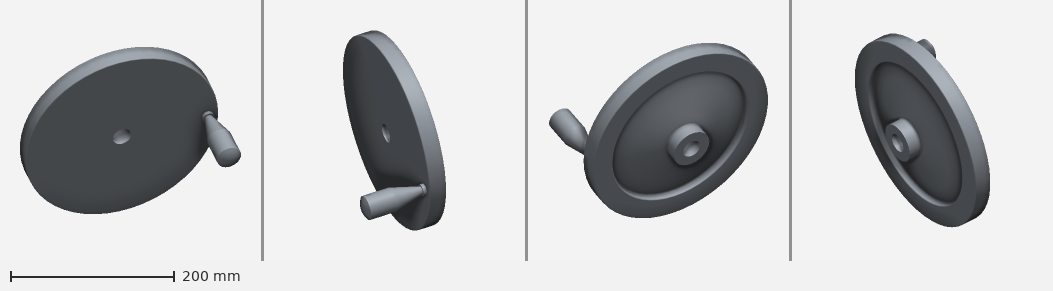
import cadquery as cq
import math

bore_diameter = 24.0
hub_diameter = 50.0
wheel_diameter = 250.0
recess_diameter = 192.62

rim_front_x = 26.5
rim_width = 22.9
rim_back_x = rim_front_x + rim_width
rim_edge_radius = 1.5

web_angle = 15.0
web_hub_x = 17.0
hub_fillet_radius = 2.0
recess_fillet_radius = 2.5

handle_offset_y = (wheel_diameter + recess_diameter) / 4
overall_length = 133.96
collar_diameter = 14.88
collar_length = 4.6
neck_diameter = 10.4
grip_diameter = 31.0
grip_length = 35.5
dome_radius = 25.0


def make_wheel():
    """Revolve the rim, web and hub, then round the edges."""
    bore_radius = bore_diameter / 2
    hub_radius = hub_diameter / 2
    wheel_radius = wheel_diameter / 2
    recess_radius = recess_diameter / 2
    web_rise = (recess_radius - hub_radius) * math.tan(math.radians(web_angle))
    web_rim_x = web_hub_x + web_rise

    wheel = (
        cq.Workplane("XY")
        .moveTo(0, bore_radius)
        .lineTo(0, hub_radius)
        .lineTo(web_hub_x, hub_radius)
        .lineTo(web_rim_x, recess_radius)
        .lineTo(rim_front_x, recess_radius)
        .lineTo(rim_front_x, wheel_radius)
        .lineTo(rim_back_x, wheel_radius)
        .lineTo(rim_back_x, bore_radius)
        .close()
        .revolve(360, (0, 0, 0), (1, 0, 0))
    )
    wheel = fillet_circle(wheel, web_hub_x, hub_radius, hub_fillet_radius)
    wheel = fillet_circle(wheel, web_rim_x, recess_radius, recess_fillet_radius)
    wheel = fillet_circle(wheel, rim_front_x, recess_radius, rim_edge_radius)
    wheel = fillet_circle(wheel, rim_front_x, wheel_radius, rim_edge_radius)
    return fillet_circle(wheel, rim_back_x, wheel_radius, rim_edge_radius)


def fillet_circle(body, x, circle_radius, fillet_radius):
    """Round the circular edge of the given radius that lies at x on the wheel axis."""
    tolerance = 0.01
    reach = circle_radius + tolerance
    edge_box = cq.selectors.BoxSelector(
        (x - tolerance, -reach, -reach),
        (x + tolerance, reach, reach),
        boundingbox=True,
    )
    edges = [
        edge
        for edge in body.edges(edge_box).vals()
        if edge.geomType() == "CIRCLE" and abs(edge.radius() - circle_radius) < tolerance
    ]
    return body.newObject(edges).fillet(fillet_radius)


def make_handle():
    """Revolve the collar, tapered shank, grip and domed end about the handle axis."""
    grip_radius = grip_diameter / 2
    dome_height = dome_radius - math.sqrt(dome_radius**2 - grip_radius**2)
    collar_end_x = rim_back_x + collar_length
    grip_end_x = overall_length - dome_height
    grip_start_x = grip_end_x - grip_length

    half_angle = math.asin(grip_radius / dome_radius) / 2
    dome_mid_x = overall_length - dome_radius * (1 - math.cos(half_angle))
    dome_mid_radius = dome_radius * math.sin(half_angle)

    root_x = rim_back_x - collar_length

    return (
        cq.Workplane("XY")
        .moveTo(root_x, 0)
        .lineTo(root_x, collar_diameter / 2)
        .lineTo(collar_end_x, collar_diameter / 2)
        .lineTo(collar_end_x, neck_diameter / 2)
        .lineTo(grip_start_x, grip_radius)
        .lineTo(grip_end_x, grip_radius)
        .threePointArc((dome_mid_x, dome_mid_radius), (overall_length, 0))
        .close()
        .revolve(360, (0, 0, 0), (1, 0, 0))
        .translate((0, handle_offset_y, 0))
    )


result = make_wheel().union(make_handle())